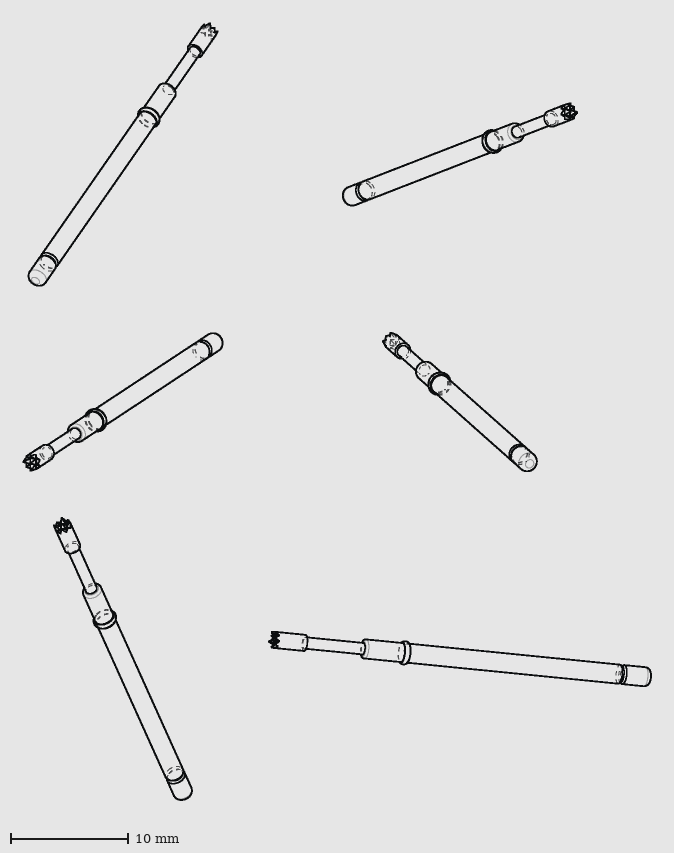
import cadquery as cq

TOTAL_LENGTH = 34.3
BARREL_LENGTH = 26.0
BARREL_END_Y = 0.0
BARREL_MOUTH_Y = BARREL_END_Y + BARREL_LENGTH
TIP_Y = BARREL_END_Y + TOTAL_LENGTH

BARREL_RADIUS = 0.825
END_ROUND = 0.45
MOUTH_ROUND = 0.2

COLLAR_RADIUS = 1.0
COLLAR_WIDTH = 0.5
COLLAR_CROWN = 0.1
COLLAR_TO_MOUTH = 3.5

GROOVE_Y = 2.55
GROOVE_DEPTH = 0.13
GROOVE_WIDTH = 0.4

SHAFT_RADIUS = 0.5
HEAD_RADIUS = 0.7
HEAD_LENGTH = 3.0

TOOTH_GROOVE_INNER_EDGE = 0.02
TOOTH_GROOVE_BOTTOM = 0.26
TOOTH_GROOVE_OUTER_EDGE = 0.62
TOOTH_DEPTH = 0.47


def cylinder(radius, start_y, length):
    """Cylinder on the probe axis running from start_y towards +Y."""
    base = cq.Workplane("XZ", origin=(0, start_y, 0))
    return base.circle(radius).extrude(-length)


def make_barrel():
    barrel = cylinder(BARREL_RADIUS, BARREL_END_Y, BARREL_LENGTH)
    barrel = barrel.faces("<Y").edges().fillet(END_ROUND)
    return barrel.faces(">Y").edges().fillet(MOUTH_ROUND)


def revolve_about_axis(profile):
    return profile.revolve(360, (0, 0, 0), (0, 1, 0))


def make_collar():
    """Ring with flat side walls and a crowned rim."""
    front_y = BARREL_MOUTH_Y - COLLAR_TO_MOUTH
    back_y = front_y - COLLAR_WIDTH
    wall_radius = COLLAR_RADIUS - COLLAR_CROWN
    profile = (
        cq.Workplane("XY")
        .moveTo(0, back_y)
        .lineTo(wall_radius, back_y)
        .threePointArc((COLLAR_RADIUS, (front_y + back_y) / 2), (wall_radius, front_y))
        .lineTo(0, front_y)
        .close()
    )
    return revolve_about_axis(profile)


def make_crimp_groove():
    """Ring-shaped cutter with a V section."""
    half_width = GROOVE_WIDTH / 2
    outer_radius = BARREL_RADIUS + GROOVE_DEPTH
    profile = (
        cq.Workplane("XY")
        .moveTo(outer_radius, GROOVE_Y - half_width)
        .lineTo(BARREL_RADIUS, GROOVE_Y - half_width)
        .lineTo(BARREL_RADIUS - GROOVE_DEPTH, GROOVE_Y)
        .lineTo(BARREL_RADIUS, GROOVE_Y + half_width)
        .lineTo(outer_radius, GROOVE_Y + half_width)
        .close()
    )
    return revolve_about_axis(profile)


def make_tooth_groove():
    """V groove across the tip on the +X side of the axis, parallel to Z."""
    return (
        cq.Workplane("XY")
        .moveTo(TOOTH_GROOVE_INNER_EDGE, TIP_Y)
        .lineTo(TOOTH_GROOVE_BOTTOM, TIP_Y - TOOTH_DEPTH)
        .lineTo(TOOTH_GROOVE_OUTER_EDGE, TIP_Y)
        .close()
        .extrude(2 * HEAD_RADIUS, both=True)
    )


def make_plunger():
    shaft_length = TOTAL_LENGTH - BARREL_LENGTH - HEAD_LENGTH
    shaft = cylinder(SHAFT_RADIUS, BARREL_MOUTH_Y, shaft_length)
    head = cylinder(HEAD_RADIUS, TIP_Y - HEAD_LENGTH, HEAD_LENGTH)
    for turn_angle in (0, 90, 180, 270):
        head = head.cut(make_tooth_groove().rotate((0, 0, 0), (0, 1, 0), turn_angle))
    return shaft.union(head)


barrel = make_barrel().union(make_collar()).cut(make_crimp_groove())
result = barrel.union(make_plunger())